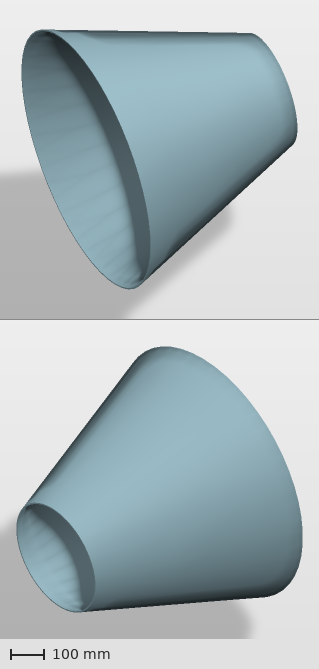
import cadquery as cq
import math

wide_diameter = 812.8
narrow_diameter = 355.6
length = 610.0
wall = 4.0

wide_radius = wide_diameter / 2
narrow_radius = narrow_diameter / 2
y_wide = -length / 2
y_narrow = length / 2

half_cone_angle = math.atan2(wide_radius - narrow_radius, length)
end_ring_width = wall / math.cos(half_cone_angle)

wall_section = [
    (wide_radius - end_ring_width, y_wide),
    (wide_radius, y_wide),
    (narrow_radius, y_narrow),
    (narrow_radius - end_ring_width, y_narrow),
]

full_turn = 360
result = (
    cq.Workplane("XY")
    .polyline(wall_section)
    .close()
    .revolve(full_turn, (0, 0, 0), (0, 1, 0))
)